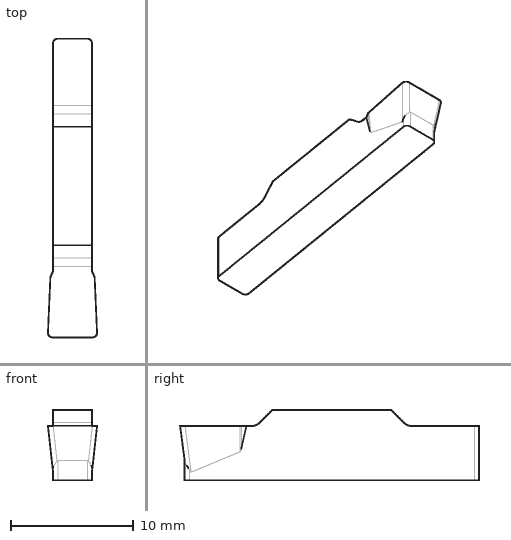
import cadquery as cq
import math

length = 24.5
height = 5.78
deck_height = 4.45

shank_width = 3.2
shank_front = 0.37
shank_corner_radius = 0.4
land_front = 7.57
land_rear = 17.3
ramp_run = height - deck_height
ramp_fillet = 0.98

edge_width = 4.05
edge_corner_radius = 0.42
head_rear = 5.45
shoulder_y = 5.02
shoulder_width = 3.6
shoulder_break_y = 4.9
shoulder_break_width = 3.65
side_relief = math.tan(math.radians(6))
front_relief = math.tan(math.radians(7.5))

shank_half = shank_width / 2


def make_shank():
    """Side profile with the raised land, extruded across the width."""
    profile = (
        cq.Workplane("YZ")
        .moveTo(shank_front, 0)
        .lineTo(length, 0)
        .lineTo(length, deck_height)
        .lineTo(land_rear + ramp_run, deck_height)
        .lineTo(land_rear, height)
        .lineTo(land_front, height)
        .lineTo(land_front - ramp_run, deck_height)
        .lineTo(shank_front, deck_height)
        .close()
    )
    body = profile.extrude(shank_half, both=True)
    body = body.edges("|Z").fillet(shank_corner_radius)
    for foot_y in (land_front - ramp_run, land_rear + ramp_run):
        foot = cq.selectors.NearestToPointSelector((0, foot_y, deck_height))
        body = body.edges(foot).fillet(ramp_fillet)
    return body


def head_outline(drop):
    """Closed head outline at a depth below the deck, moved in by the reliefs."""
    inset = drop * side_relief
    front_y = drop * front_relief
    radius = edge_corner_radius
    break_half = shoulder_break_width / 2

    taper_angle = math.atan((edge_width / 2 - break_half) / (shoulder_break_y - radius))
    arc_y = front_y + radius * (1 - math.sin(taper_angle))
    arc_x = break_half + (shoulder_break_y - arc_y) * math.tan(taper_angle) - inset
    center_x = arc_x - radius * math.cos(taper_angle)
    center_y = front_y + radius
    mid_angle = (math.pi / 2 + taper_angle) / 2 - taper_angle
    mid_x = center_x + radius * math.cos(mid_angle)
    mid_y = center_y - radius * math.sin(mid_angle)

    rear_x = shank_half - inset
    shoulder_x = shoulder_width / 2 - inset
    break_x = break_half - inset
    outline = (
        cq.Workplane("XY", origin=(0, 0, deck_height - drop))
        .moveTo(-rear_x, head_rear)
        .lineTo(-shoulder_x, shoulder_y)
        .lineTo(-break_x, shoulder_break_y)
        .lineTo(-arc_x, arc_y)
        .threePointArc((-mid_x, mid_y), (-center_x, front_y))
        .lineTo(center_x, front_y)
        .threePointArc((mid_x, mid_y), (arc_x, arc_y))
        .lineTo(break_x, shoulder_break_y)
        .lineTo(shoulder_x, shoulder_y)
        .lineTo(rear_x, head_rear)
        .close()
    )
    return outline.val()


def make_head():
    """Relieved head that shrinks downward until it vanishes inside the shank."""
    wires = [head_outline(0), head_outline(deck_height)]
    return cq.Workplane(cq.Solid.makeLoft(wires, True))


result = make_shank().union(make_head()).clean()